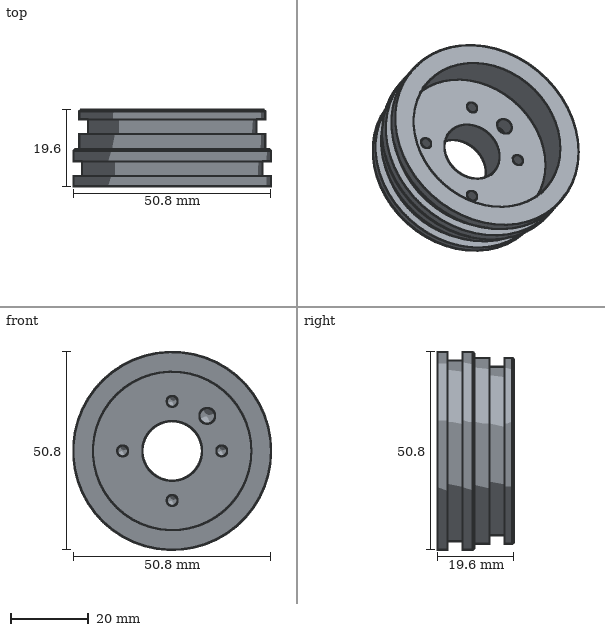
import cadquery as cq
import math

outer_radius = 25.4
rear_radius = 23.9
front_groove_radius = 23.2
rear_groove_radius = 21.65
length = 19.65

front_flange_end = 2.65
front_groove_end = 6.4
middle_flange_end = 9.5
rear_land_end = 13.4
rear_groove_end = 17.15
chamfer = 0.5

recess_radius = 20.3
recess_depth = 10.15
bore_radius = 7.6

hole_circle_radius = 12.7
small_hole_diameter = 2.8
small_hole_depth = 5.1
large_hole_diameter = 4.05
large_hole_depth = 5.1
large_hole_angle = 45
drill_point_angle = 118


def make_body():
    """Revolve the half section (radius, Y) about the Y axis."""
    section = [
        (bore_radius, recess_depth),
        (recess_radius, recess_depth),
        (recess_radius, 0),
        (outer_radius, 0),
        (outer_radius, front_flange_end),
        (front_groove_radius, front_flange_end),
        (front_groove_radius, front_groove_end),
        (outer_radius, front_groove_end),
        (outer_radius, middle_flange_end - chamfer),
        (outer_radius - chamfer, middle_flange_end),
        (rear_radius, middle_flange_end),
        (rear_radius, rear_land_end),
        (rear_groove_radius, rear_land_end),
        (rear_groove_radius, rear_groove_end),
        (rear_radius, rear_groove_end),
        (rear_radius, length - chamfer),
        (rear_radius - chamfer, length),
        (bore_radius, length),
    ]
    return cq.Workplane("XY").polyline(section).close().revolve(360, (0, 0), (0, 1))


def drilled_hole(diameter, depth, angle):
    """Blind hole on the hole circle, its axis along Y, at an angle from +X towards +Z."""
    radius = diameter / 2
    point_length = radius / math.tan(math.radians(drill_point_angle / 2))
    drill = (
        cq.Workplane("XY")
        .polyline([(0, 0), (radius, 0), (radius, depth), (0, depth + point_length)])
        .close()
        .revolve(360, (0, 0), (0, 1))
    )
    x = hole_circle_radius * math.cos(math.radians(angle))
    z = hole_circle_radius * math.sin(math.radians(angle))
    return drill.translate((x, recess_depth, z))


result = make_body()
for hole_angle in (0, 90, 180, 270):
    result = result.cut(drilled_hole(small_hole_diameter, small_hole_depth, hole_angle))
result = result.cut(drilled_hole(large_hole_diameter, large_hole_depth, large_hole_angle))